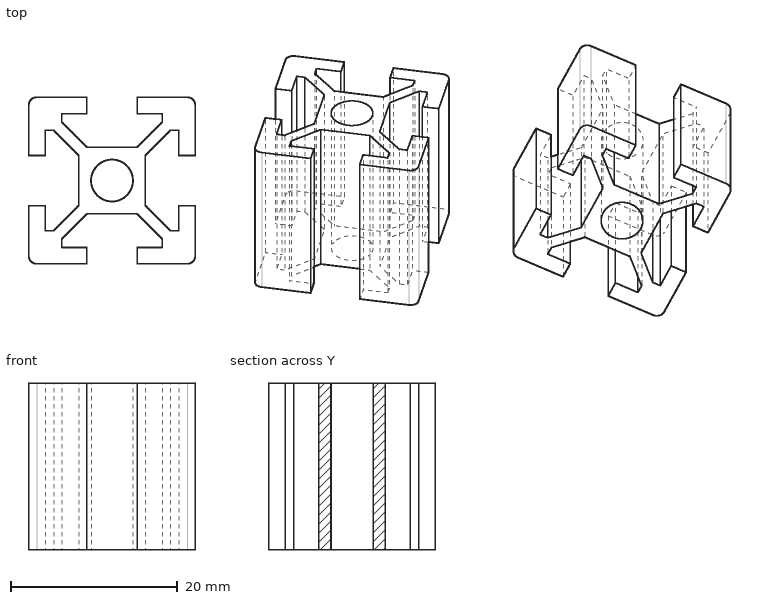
import cadquery as cq

side = 20.0
length = 20.0
corner_radius = 1.0
bore_diameter = 5.0

slot_opening = 6.0
lip_thickness = 2.0
slot_inner_width = 12.0
shoulder_depth = 1.0
core_width = 8.0
slot_count = 4

half_side = side / 2
half_opening = slot_opening / 2
half_inner = slot_inner_width / 2
lip_inner_y = half_side - lip_thickness
shoulder_y = lip_inner_y - shoulder_depth
floor_y = core_width / 2
half_floor = half_inner - (shoulder_y - floor_y)


def make_blank():
    """Square bar with rounded vertical edges."""
    bar = cq.Workplane("XY").rect(side, side).extrude(length)
    return bar.edges("|Z").fillet(corner_radius)


def make_slot():
    """Full-length T-slot cutter opening on the +Y face."""
    right_half = [
        (half_opening, half_side),
        (half_opening, lip_inner_y),
        (half_inner, lip_inner_y),
        (half_inner, shoulder_y),
        (half_floor, floor_y),
    ]
    left_half = [(-x, y) for x, y in reversed(right_half)]
    return cq.Workplane("XY").polyline(right_half + left_half).close().extrude(length)


def cut_slots(body):
    """Cut one T-slot into each side face."""
    slot = make_slot()
    for index in range(slot_count):
        angle = index * 360 / slot_count
        body = body.cut(slot.rotate((0, 0, 0), (0, 0, 1), angle))
    return body


def cut_bore(body):
    """Cut the central through bore."""
    bore = cq.Workplane("XY").circle(bore_diameter / 2).extrude(length)
    return body.cut(bore)


result = cut_bore(cut_slots(make_blank()))